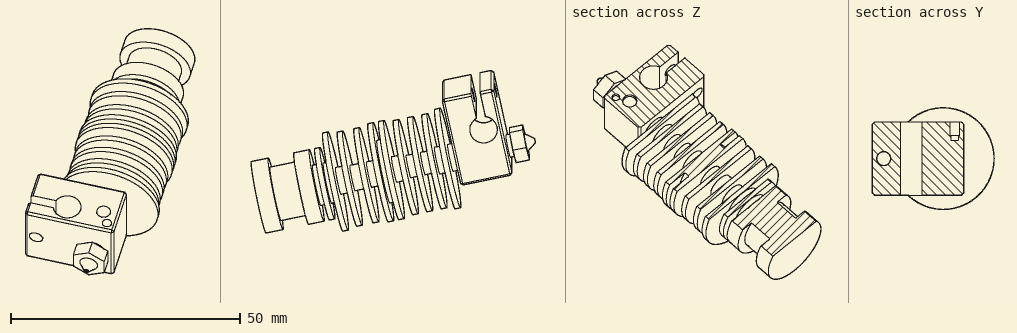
import cadquery as cq
import math


collar_diameter = 16.0
rear_flange_thickness = 3.8
groove_diameter = 11.98
groove_width = 5.7
front_flange_thickness = 3.45
collar_neck_diameter = 9.0

fin_thickness = 1.2
fin_gap = 2.0
close_gap = 1.2
wide_gap = 2.5
last_fin_gap = 1.75
block_gap = 1.4

small_fin_diameter = 21.05
large_fin_diameter = 21.95
last_fin_diameter = 22.27
centre_disc_diameter = 14.0

thick_neck_diameter = 6.0
medium_neck_diameter = 5.7
thin_neck_diameter = 5.0

block_length = 20.0
block_depth = 11.5
block_height = 16.0
block_right = 4.5
block_left = block_right - block_length
block_front = -block_depth
block_top = block_height / 2
block_chamfer = 0.5

heater_bore_diameter = 6.0
heater_bore_x = -7.0
heater_bore_y = block_front + 4.0
clamp_slit_width = 2.0
clamp_screw_diameter = 3.0
clamp_screw_x = block_left + 2.5

sensor_screw_diameter = 3.0
sensor_screw_x = 1.0
sensor_screw_y = block_front + 4.8
sensor_screw_depth = 4.0

sensor_hole_diameter = 2.0
sensor_tip_diameter = 1.55
sensor_hole_x = 2.5
sensor_hole_y = block_front + 2.0
sensor_hole_depth = 3.0
sensor_tip_depth = 4.0

nozzle_neck_diameter = 5.0
nozzle_neck_length = 1.0
hex_across_flats = 7.0
hex_length = 3.0
cone_base_diameter = 4.0
cone_tip_diameter = 1.0
cone_length = 2.0
orifice_diameter = 0.4


def rod(diameter, y_start, length):
    """Solid cylinder on the tool axis, running from y_start towards -Y."""
    profile = cq.Workplane("XZ", origin=(0, y_start, 0)).circle(diameter / 2)
    return profile.extrude(length)


def make_heatsink():
    steps = [
        (collar_diameter, rear_flange_thickness),
        (groove_diameter, groove_width),
        (collar_diameter, front_flange_thickness),
        (collar_neck_diameter, close_gap),
        (collar_diameter, fin_thickness),
        (collar_neck_diameter, close_gap),
        (large_fin_diameter, fin_thickness),
        (thick_neck_diameter, fin_gap),
        (small_fin_diameter, fin_thickness),
        (medium_neck_diameter, wide_gap),
        (small_fin_diameter, fin_thickness),
        (medium_neck_diameter, fin_gap),
        (large_fin_diameter, fin_thickness),
        (centre_disc_diameter, close_gap),
        (large_fin_diameter, fin_thickness),
        (medium_neck_diameter, fin_gap),
        (small_fin_diameter, fin_thickness),
        (thin_neck_diameter, fin_gap),
        (small_fin_diameter, fin_thickness),
        (thin_neck_diameter, fin_gap),
        (small_fin_diameter, fin_thickness),
        (thick_neck_diameter, last_fin_gap),
        (last_fin_diameter, fin_thickness),
        (thick_neck_diameter, block_gap),
    ]
    y = sum(length for _, length in steps)
    profile = cq.Workplane("XY").moveTo(0, y)
    for diameter, length in steps:
        profile = profile.lineTo(diameter / 2, y)
        y -= length
        profile = profile.lineTo(diameter / 2, y)
    profile = profile.lineTo(0, 0).close()
    return profile.revolve(360, (0, 0, 0), (0, 1, 0))


def top_hole(diameter, x, y, depth):
    """Cutter for a hole going down from the top of the block."""
    return cq.Workplane("XY", origin=(x, y, block_top)).circle(diameter / 2).extrude(-depth)


def make_block():
    block = (
        cq.Workplane("XY")
        .box(block_length, block_depth, block_height)
        .edges()
        .chamfer(block_chamfer)
        .translate(((block_left + block_right) / 2, block_front / 2, 0))
    )
    block = block.cut(top_hole(heater_bore_diameter, heater_bore_x, heater_bore_y, block_height))
    slit_length = heater_bore_x - block_left
    slit = cq.Workplane("XY").box(slit_length, clamp_slit_width, block_height)
    block = block.cut(slit.translate((block_left + slit_length / 2, heater_bore_y, 0)))
    screw_hole = rod(clamp_screw_diameter, 0, block_depth)
    block = block.cut(screw_hole.translate((clamp_screw_x, 0, 0)))
    sensor_holes = [
        (sensor_screw_diameter, sensor_screw_x, sensor_screw_y, sensor_screw_depth),
        (sensor_hole_diameter, sensor_hole_x, sensor_hole_y, sensor_hole_depth),
        (sensor_tip_diameter, sensor_hole_x, sensor_hole_y, sensor_tip_depth),
    ]
    for diameter, x, y, depth in sensor_holes:
        block = block.cut(top_hole(diameter, x, y, depth))
    return block


def make_nozzle():
    hex_start = block_front - nozzle_neck_length
    cone_start = hex_start - hex_length
    hex_circumdiameter = hex_across_flats / math.cos(math.pi / 6)
    neck = rod(nozzle_neck_diameter, block_front, nozzle_neck_length)
    hexagon = (
        cq.Workplane("XZ", origin=(0, hex_start, 0))
        .transformed(rotate=(0, 0, 90))
        .polygon(6, hex_circumdiameter)
        .extrude(hex_length)
    )
    cone = cq.Workplane("XY").add(
        cq.Solid.makeCone(
            cone_base_diameter / 2,
            cone_tip_diameter / 2,
            cone_length,
            pnt=cq.Vector(0, cone_start, 0),
            dir=cq.Vector(0, -1, 0),
        )
    )
    orifice = rod(orifice_diameter, cone_start, cone_length)
    return neck.union(hexagon).union(cone).cut(orifice)


heatsink = make_heatsink()
hot_end = make_block().union(make_nozzle())

result = cq.Compound.makeCompound([heatsink.val(), hot_end.solids().val()])